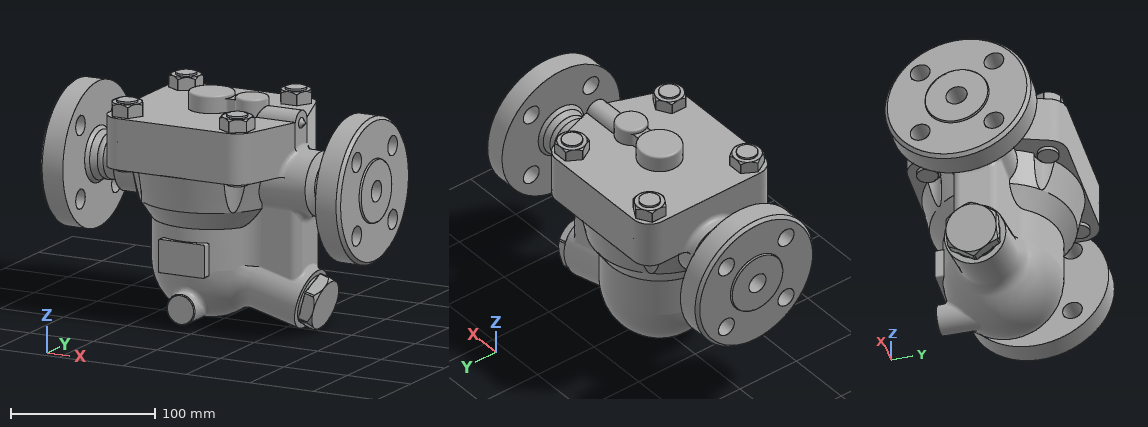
import cadquery as cq
import math


face_to_face = 239.0
bowl_x = -10.3

flange_d = 105.0
raised_face_d = 46.0
raised_face_tip_d = 45.0
raised_face_height = 1.5
flange_chamfer = 2.5
flange_back = 20.0
flange_hole_d = 14.0
flange_hole_circle_d = 74.8
bore_d = 15.0

neck_flare_d = 40.6
neck_taper_d = 35.8
neck_taper_start = 22.7
weld_start = 27.7
weld_end = 32.3
weld_height = 0.7
pipe_d = 32.0
pipe_end = 40.2
collar_d = 46.0
collar_start = 44.0
bore_depth = collar_start

plate_left = 57.4
plate_right = 70.5
plate_width = 115.0
plate_nose_half = 8.8
plate_bottom = 7.2
plate_joint = 27.2
plate_top = 44.0
bolt_offset = 43.3
corner_r = plate_width / 2 - bolt_offset
collar_fillet = 4.0

bolt_d = 15.0
bolt_low = 4.3
bolt_high = 54.7
nut_flats = 21.3
nut_corner_d = 24.4
nut_height = 9.3
nut_clearance_d = 19.5

pad_top = 56.6
pad_edge_fillet = 1.7
main_pad_d = 32.5
side_pad_d = 23.5
side_pad_offset = 31.8
pad_bridge_width = 12.5
pad_bridge_top = 53.8
pad_bridge_fillet = 1.7
duct_z = 41.8
duct_tip_r = 3.8
duct_tip_length = 3.5

bowl_r = 42.0
shoulder_top_r = 56.6
shoulder_r = 51.5
shoulder_z = -18.6
shoulder_bottom = -32.5
dome_z = -62.5

web_half = 17.0
web_reach = 77.5
web_root_fillet = 16.7
web_edge_fillet = 6.5
web_foot_height = 9.5
web_joint_fillet = 6.0
web_strainer_fillet = 2.5
strainer_joint_band = 7.2

strainer_d = 44.0
strainer_angle = 15.0
strainer_end = 81.0
strainer_flare_r = 14.3
strainer_gasket_d = 35.8
strainer_gasket_end = 83.2
strainer_nut_end = 92.7
strainer_nut_flats = 35.8
strainer_nut_corner_d = 40.6

drain_d = 22.0
drain_z = -90.5
drain_reach = 46.0
drain_root_fillet = 3.5
drain_edge_chamfer = 0.7

label_width = 36.3
label_top = -42.3
label_height = 24.0
label_reach = 44.5
label_corner_r = 1.2

edge_margin = 0.2

bolt_places = [(bowl_x + sx * bolt_offset, sy * bolt_offset, sx * sy) for sx in (-1, 1) for sy in (-1, 1)]


def cylinder_z(d, x, y, z_low, z_high):
    return cq.Workplane("XY", origin=(x, y, z_low)).circle(d / 2).extrude(z_high - z_low)


def box_selector(x_range, y_half, z_range):
    """Select the items whose centres lie in a box placed symmetrically about Y = 0."""
    low = (x_range[0], -y_half, z_range[0])
    high = (x_range[1], y_half, z_range[1])
    return cq.selectors.BoxSelector(low, high)


def hex_head(flats, corner_d, height):
    """Hexagon on Z = 0 with turned corners and a chamfered upper end; two flats face +-X."""
    hexagon = (
        cq.Workplane("XY")
        .polygon(6, flats / math.cos(math.pi / 6))
        .extrude(height)
        .rotate((0, 0, 0), (0, 0, 1), 30)
    )
    chamfer_width = (corner_d - flats) / 2
    turned = cq.Workplane("XY").circle(corner_d / 2).extrude(height).faces(">Z").chamfer(chamfer_width)
    return hexagon.intersect(turned)


def pipe_end_solid():
    """Left-hand flange, weld neck, pipe and collar, turned about the pipe axis up to the bowl axis."""
    end_x = -face_to_face / 2
    flange_r = flange_d / 2
    pipe_r = pipe_d / 2
    flange_face = end_x + raised_face_height
    weld_top = (end_x + (weld_start + weld_end) / 2, pipe_r + weld_height)
    return (
        cq.Workplane("XY")
        .moveTo(end_x, 0)
        .lineTo(end_x, raised_face_tip_d / 2)
        .lineTo(flange_face, raised_face_d / 2)
        .lineTo(flange_face, flange_r - flange_chamfer)
        .lineTo(flange_face + flange_chamfer, flange_r)
        .lineTo(end_x + flange_back, flange_r)
        .lineTo(end_x + flange_back, neck_flare_d / 2)
        .lineTo(end_x + neck_taper_start, neck_taper_d / 2)
        .lineTo(end_x + weld_start, pipe_r)
        .threePointArc(weld_top, (end_x + weld_end, pipe_r))
        .lineTo(end_x + pipe_end, pipe_r)
        .lineTo(end_x + collar_start, collar_d / 2)
        .lineTo(bowl_x, collar_d / 2)
        .lineTo(bowl_x, 0)
        .close()
        .revolve(360, (0, 0, 0), (1, 0, 0))
    )


def flange_holes():
    """Bolt holes and blind bore of the left-hand flange."""
    start = cq.Workplane("YZ", origin=(-face_to_face / 2, 0, 0))
    places = start.polarArray(flange_hole_circle_d / 2, 45, 360, 4)
    holes = places.circle(flange_hole_d / 2).extrude(flange_back)
    bore = start.circle(bore_d / 2).extrude(bore_depth)
    return holes.union(bore)


def both_ends(left):
    return left.union(left.mirror("YZ"))


def plate(z_low, z_high):
    """Square plate with rounded corners whose right side tapers to a blunt nose."""
    half = plate_width / 2
    dx = plate_right - bolt_offset
    dy = plate_nose_half - bolt_offset
    tangent_angle = math.atan2(dy, dx) + math.acos(corner_r / math.hypot(dx, dy))

    def arc_point(angle):
        return bolt_offset + corner_r * math.cos(angle), bolt_offset + corner_r * math.sin(angle)

    tangent = arc_point(tangent_angle)
    arc_mid = arc_point((tangent_angle + math.pi / 2) / 2)
    left_mid = arc_point(math.pi / 4)
    return (
        cq.Workplane("XY", origin=(bowl_x, 0, z_low))
        .moveTo(-plate_left, -bolt_offset)
        .lineTo(-plate_left, bolt_offset)
        .threePointArc((-left_mid[0], left_mid[1]), (-bolt_offset, half))
        .lineTo(bolt_offset, half)
        .threePointArc(arc_mid, tangent)
        .lineTo(plate_right, plate_nose_half)
        .lineTo(plate_right, -plate_nose_half)
        .lineTo(tangent[0], -tangent[1])
        .threePointArc((arc_mid[0], -arc_mid[1]), (bolt_offset, -half))
        .lineTo(-bolt_offset, -half)
        .threePointArc((-left_mid[0], -left_mid[1]), (-plate_left, -bolt_offset))
        .close()
        .extrude(z_high - z_low)
    )


def body_plate():
    """Lower plate with fillets round both pipe collars where they leave its sides."""
    reach = face_to_face / 2 - collar_start
    collars = cq.Workplane("YZ", origin=(-reach, 0, 0)).circle(collar_d / 2).extrude(2 * reach)
    blank = plate(-plate_joint, plate_joint).union(collars)
    x_range = (edge_margin - reach, reach - edge_margin)
    joint = box_selector(x_range, collar_d / 2, (-collar_d / 2, collar_d / 2))
    blank = blank.edges("not(|X or |Y or |Z)").edges(joint).fillet(collar_fillet)
    above_bottom = cq.Workplane("XY").box(face_to_face, plate_width, plate_joint - plate_bottom)
    return blank.intersect(above_bottom.translate((0, 0, (plate_joint + plate_bottom) / 2)))


def cover():
    """Upper plate with two round pads, the bridge between them and a duct to the nose."""
    side_x = bowl_x + side_pad_offset
    pads = cq.Workplane("XY").box(
        side_pad_offset, pad_bridge_width, pad_bridge_top - plate_joint, centered=(False, True, False)
    ).translate((bowl_x, 0, plate_joint))
    for pad_d, pad_x in ((main_pad_d, bowl_x), (side_pad_d, side_x)):
        pad = cylinder_z(pad_d, pad_x, 0, plate_joint, pad_top)
        pads = pads.union(pad.faces(">Z").edges().fillet(pad_edge_fillet))
    x_range = (bowl_x + edge_margin, side_x - edge_margin)
    near_bridge = box_selector(x_range, pad_bridge_width, (plate_joint, pad_top))
    pads = pads.edges("|Z").edges(near_bridge).fillet(pad_bridge_fillet)

    duct_length = plate_right - side_pad_offset
    duct = (
        cq.Workplane("XY", origin=(side_x, 0, duct_z))
        .lineTo(0, plate_nose_half)
        .lineTo(duct_length, plate_nose_half)
        .lineTo(duct_length, duct_tip_r)
        .lineTo(duct_length + duct_tip_length, 0)
        .close()
        .revolve(360, (0, 0, 0), (1, 0, 0))
    )
    return plate(plate_joint, plate_top).union(pads).union(duct)


def nuts_and_bolts():
    hardware = cq.Workplane("XY")
    for x, y, diagonal in bolt_places:
        turn = 90 if diagonal > 0 else 0
        nut = hex_head(nut_flats, nut_corner_d, nut_height).rotate((0, 0, 0), (0, 0, 1), turn)
        hardware = hardware.union(nut.translate((x, y, plate_top)))
        hardware = hardware.union(cylinder_z(bolt_d, x, y, bolt_low, bolt_high))
    return hardware


def bowl():
    """Conical shoulder, cylindrical wall and hemispherical bottom, cleared around the bolts."""
    dome_mid = bowl_r * math.sin(math.pi / 4)
    turned = (
        cq.Workplane("XZ", origin=(bowl_x, 0, 0))
        .moveTo(0, plate_bottom)
        .lineTo(shoulder_top_r, plate_bottom)
        .lineTo(shoulder_r, shoulder_z)
        .lineTo(bowl_r, shoulder_bottom)
        .lineTo(bowl_r, dome_z)
        .threePointArc((dome_mid, dome_z - dome_mid), (0, dome_z - bowl_r))
        .close()
        .revolve(360, (0, 0, 0), (0, 1, 0))
    )
    for x, y, _ in bolt_places:
        turned = turned.cut(cylinder_z(nut_clearance_d, x, y, shoulder_z, plate_bottom))
    return turned


def along_strainer(body):
    """Move a body built on +Z from the origin onto the inclined strainer axis through the dome centre."""
    return body.rotate((0, 0, 0), (0, 1, 0), 90 + strainer_angle).translate((bowl_x, 0, dome_z))


def strainer():
    """Round branch with a concave flare tangent to the dome and a hexagonal plug."""
    r = strainer_d / 2
    flare_axis_r = r + strainer_flare_r
    flare_end = math.sqrt((bowl_r + strainer_flare_r) ** 2 - flare_axis_r ** 2)
    on_dome = bowl_r / (bowl_r + strainer_flare_r)
    dome_angle = math.atan2(-flare_end, -flare_axis_r)
    mid_angle = (dome_angle - math.pi) / 2
    flare_mid = (
        flare_axis_r + strainer_flare_r * math.cos(mid_angle),
        flare_end + strainer_flare_r * math.sin(mid_angle),
    )
    branch = (
        cq.Workplane("XZ")
        .lineTo(flare_axis_r * on_dome, flare_end * on_dome)
        .threePointArc(flare_mid, (r, flare_end))
        .lineTo(r, strainer_end)
        .lineTo(strainer_gasket_d / 2, strainer_end)
        .lineTo(strainer_gasket_d / 2, strainer_gasket_end)
        .lineTo(0, strainer_gasket_end)
        .close()
        .revolve(360, (0, 0, 0), (0, 1, 0))
    )
    plug = hex_head(strainer_nut_flats, strainer_nut_corner_d, strainer_nut_end - strainer_gasket_end)
    plug = plug.rotate((0, 0, 0), (0, 0, 1), 90).translate((0, 0, strainer_gasket_end))
    return along_strainer(branch.union(plug))


def web_roots():
    """Solid corners with large concave fillets between the bowl wall and both sides of the web."""
    root_y = web_half + web_root_fillet
    root_x = math.sqrt((bowl_r + web_root_fillet) ** 2 - root_y ** 2)
    on_bowl = bowl_r / (bowl_r + web_root_fillet)
    mid_angle = (math.atan2(-root_y, -root_x) - math.pi / 2) / 2
    bowl_tangent = (root_x * on_bowl, root_y * on_bowl)
    root_mid = (
        root_x + web_root_fillet * math.cos(mid_angle),
        root_y + web_root_fillet * math.sin(mid_angle),
    )
    return (
        cq.Workplane("XY", origin=(bowl_x, 0, 0))
        .lineTo(*bowl_tangent)
        .threePointArc(root_mid, (root_x, web_half))
        .lineTo(root_x, -web_half)
        .threePointArc((root_mid[0], -root_mid[1]), (bowl_tangent[0], -bowl_tangent[1]))
        .close()
        .extrude(dome_z - bowl_r)
        .cut(below_web())
    )


def below_web():
    """Space under an inclined plane that lies inside the upper half of the strainer branch."""
    block = cq.Workplane("XY").box(2 * bowl_r, 2 * bowl_r, face_to_face, centered=(False, True, False))
    return along_strainer(block.translate((-web_foot_height, 0, -bowl_r)))


def web_and_strainer():
    """Upright passage from the right-hand collar down to the strainer, filleted to both."""
    upright = (
        cq.Workplane("XY")
        .box(web_reach, 2 * web_half, bowl_r - dome_z, centered=(False, True, False))
        .translate((bowl_x, 0, dome_z - bowl_r))
        .edges("|Z and >X")
        .fillet(web_edge_fillet)
        .cut(below_web())
    )
    collar_length = face_to_face / 2 - collar_start - bowl_x
    collar = cq.Workplane("YZ", origin=(bowl_x, 0, 0)).circle(collar_d / 2).extrude(collar_length)
    web_end = bowl_x + web_reach + edge_margin
    web_side = web_half + edge_margin
    collar_joint = box_selector((bowl_x + edge_margin, web_end), web_side, (-collar_d / 2, -collar_d / 4))
    body = upright.union(collar).edges(collar_joint).fillet(web_joint_fillet)
    body = body.union(strainer())
    joint_z = (dome_z - strainer_joint_band, dome_z + strainer_joint_band)
    strainer_joint = box_selector((bowl_x + bowl_r, web_end), web_side, joint_z)
    body = body.edges(strainer_joint).fillet(web_strainer_fillet)
    return body.union(web_roots())


def add_drain(body):
    """Round drain stub pointing to -Y low on the dome, with a fillet at its root."""
    start = cq.Workplane("XZ", origin=(bowl_x, 0, drain_z))
    stub = start.circle(drain_d / 2).extrude(drain_reach).faces("<Y").chamfer(drain_edge_chamfer)
    x_range = (bowl_x - drain_d, bowl_x + drain_d)
    root = box_selector(x_range, bowl_r, (drain_z - drain_d, drain_z + drain_d))
    return body.union(stub).edges(root).edges("%BSPLINE").fillet(drain_root_fillet)


def label_pad():
    block = cq.Workplane("XY").box(label_width, label_reach, label_height)
    block = block.edges("|Y").fillet(label_corner_r)
    return block.translate((bowl_x, -label_reach / 2, label_top - label_height / 2))


lower = both_ends(pipe_end_solid()).union(body_plate()).union(bowl()).union(web_and_strainer())
lower = add_drain(lower).union(label_pad()).cut(both_ends(flange_holes()))
upper = cover().union(nuts_and_bolts())
result = lower.union(upper, clean=False)